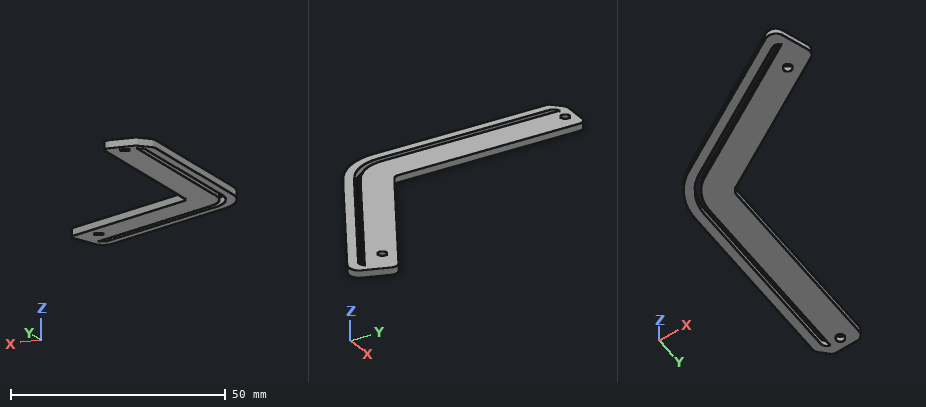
import math

import cadquery as cq

THICKNESS = 2.0
LEG_WIDTH = 12.0
INNER_BEND_RADIUS = 2.0
OUTER_BEND_RADIUS = INNER_BEND_RADIUS + LEG_WIDTH

LOWER_LEG_SLOPE = 29.6
BEND_ANGLE = 90.0 - LOWER_LEG_SLOPE

UPPER_LEG_LENGTH = 51.15
LOWER_LEG_INNER_LENGTH = 43.45
LOWER_LEG_OUTER_LENGTH = 45.65

UPPER_CHAMFER = 3.25
CORNER_RADIUS = 2.0
LOWER_OUTER_CORNER_RADIUS = 2.75

RIM_WIDTH = 2.6
SLOT_WIDTH = 1.5
SLOT_END_RADIUS = 1.75
SLOT_OUTER_RADIUS = OUTER_BEND_RADIUS - RIM_WIDTH
SLOT_INNER_RADIUS = SLOT_OUTER_RADIUS - SLOT_WIDTH
UPPER_SLOT_LENGTH = 48.45
LOWER_SLOT_LENGTH = 42.45

HOLE_DIAMETER = 2.2
UPPER_HOLE_ALONG = 48.15
UPPER_HOLE_OUT = 6.7
LOWER_HOLE_ALONG = 36.9
LOWER_HOLE_OUT = 5.7


def bend_point(radius, angle):
    """Point on a bend arc, turned from the -X direction towards the lower leg."""
    turn = math.radians(angle)
    return (-radius * math.cos(turn), -radius * math.sin(turn))


def upper_point(along, out):
    """Point on the upper leg."""
    return (-out, along)


def lower_point(along, out):
    """Point on the lower leg."""
    slope = math.radians(LOWER_LEG_SLOPE)
    x = along * math.cos(slope) - out * math.sin(slope)
    y = -along * math.sin(slope) - out * math.cos(slope)
    return (x, y)


def round_corner(body, corner, radius):
    """Round the vertical edge nearest to an outline corner."""
    nearest = cq.selectors.NearestToPointSelector((*corner, THICKNESS / 2))
    return body.edges("|Z").edges(nearest).fillet(radius)


def make_arm():
    chamfer_low = upper_point(UPPER_LEG_LENGTH - UPPER_CHAMFER, OUTER_BEND_RADIUS)
    chamfer_high = upper_point(UPPER_LEG_LENGTH, OUTER_BEND_RADIUS - UPPER_CHAMFER)
    upper_inner = upper_point(UPPER_LEG_LENGTH, INNER_BEND_RADIUS)
    lower_inner = lower_point(LOWER_LEG_INNER_LENGTH, INNER_BEND_RADIUS)
    lower_outer = lower_point(LOWER_LEG_OUTER_LENGTH, OUTER_BEND_RADIUS)

    arm = (
        cq.Workplane("XY")
        .moveTo(*chamfer_low)
        .lineTo(*chamfer_high)
        .lineTo(*upper_inner)
        .lineTo(*bend_point(INNER_BEND_RADIUS, 0))
        .threePointArc(
            bend_point(INNER_BEND_RADIUS, BEND_ANGLE / 2),
            bend_point(INNER_BEND_RADIUS, BEND_ANGLE),
        )
        .lineTo(*lower_inner)
        .lineTo(*lower_outer)
        .lineTo(*bend_point(OUTER_BEND_RADIUS, BEND_ANGLE))
        .threePointArc(
            bend_point(OUTER_BEND_RADIUS, BEND_ANGLE / 2),
            bend_point(OUTER_BEND_RADIUS, 0),
        )
        .close()
        .extrude(THICKNESS)
    )
    for corner in (chamfer_low, chamfer_high, upper_inner, lower_inner):
        arm = round_corner(arm, corner, CORNER_RADIUS)
    return round_corner(arm, lower_outer, LOWER_OUTER_CORNER_RADIUS)


def make_slot():
    """Through slot; each end is an arc tangent to the outer side that stops on the inner side."""
    end_centre_out = SLOT_OUTER_RADIUS - SLOT_END_RADIUS
    end_angle = math.acos((SLOT_INNER_RADIUS - end_centre_out) / SLOT_END_RADIUS)
    end_length = SLOT_END_RADIUS * math.sin(end_angle)
    upper_arc_start = UPPER_SLOT_LENGTH - end_length
    lower_arc_start = LOWER_SLOT_LENGTH - end_length
    mid_along = SLOT_END_RADIUS * math.sin(end_angle / 2)
    mid_out = end_centre_out + SLOT_END_RADIUS * math.cos(end_angle / 2)
    return (
        cq.Workplane("XY")
        .moveTo(*upper_point(upper_arc_start, SLOT_OUTER_RADIUS))
        .threePointArc(
            upper_point(upper_arc_start + mid_along, mid_out),
            upper_point(UPPER_SLOT_LENGTH, SLOT_INNER_RADIUS),
        )
        .lineTo(*bend_point(SLOT_INNER_RADIUS, 0))
        .threePointArc(
            bend_point(SLOT_INNER_RADIUS, BEND_ANGLE / 2),
            bend_point(SLOT_INNER_RADIUS, BEND_ANGLE),
        )
        .lineTo(*lower_point(LOWER_SLOT_LENGTH, SLOT_INNER_RADIUS))
        .threePointArc(
            lower_point(lower_arc_start + mid_along, mid_out),
            lower_point(lower_arc_start, SLOT_OUTER_RADIUS),
        )
        .lineTo(*bend_point(SLOT_OUTER_RADIUS, BEND_ANGLE))
        .threePointArc(
            bend_point(SLOT_OUTER_RADIUS, BEND_ANGLE / 2),
            bend_point(SLOT_OUTER_RADIUS, 0),
        )
        .close()
        .extrude(THICKNESS)
    )


def make_holes():
    centres = [
        upper_point(UPPER_HOLE_ALONG, UPPER_HOLE_OUT),
        lower_point(LOWER_HOLE_ALONG, LOWER_HOLE_OUT),
    ]
    return cq.Workplane("XY").pushPoints(centres).circle(HOLE_DIAMETER / 2).extrude(THICKNESS)


result = make_arm().cut(make_slot()).cut(make_holes())